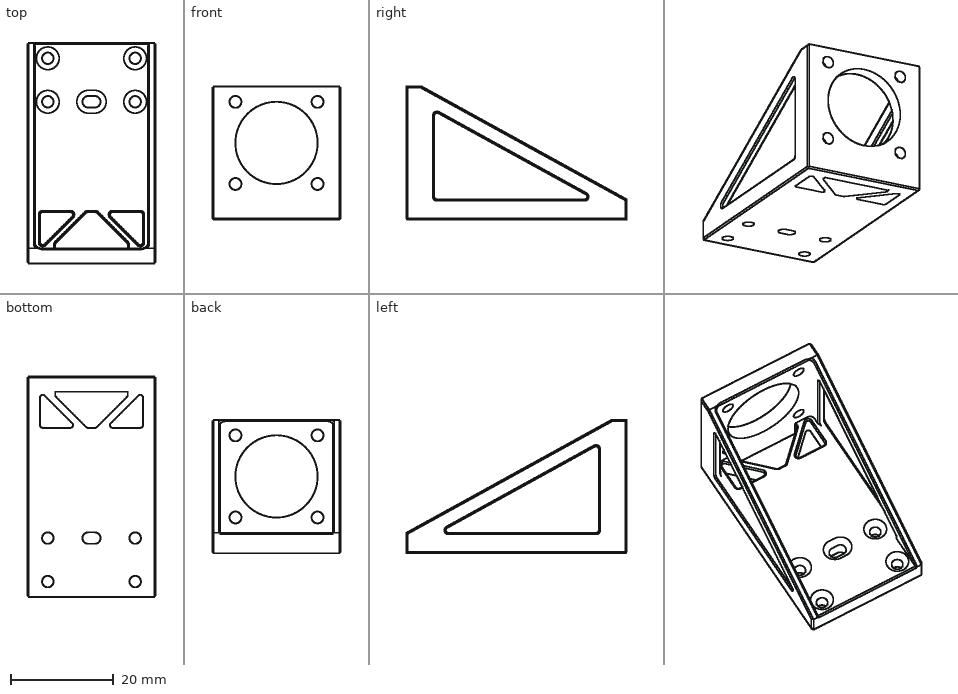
import cadquery as cq
import math

WIDTH = 25.0
LENGTH = 43.0
HEIGHT = 26.0

BASE_THICKNESS = 4.0
PLATE_THICKNESS = 3.0
WALL_THICKNESS = 1.5
EDGE_CHAMFER = 0.3
CHAMFER_ANGLE = 45
SELECTION_MARGIN = 0.05
INNER_CORNER_RADIUS = 1.0
WINDOW_CORNER_RADIUS = 0.5

BRACE_THICKNESS = 3.0
SIDE_WINDOW_FRONT = 5.5

BORE_DIAMETER = 16.0
BORE_HEIGHT = 15.0
PLATE_HOLE_DIAMETER = 2.3
PLATE_HOLE_SPACING = BORE_DIAMETER

SCREW_DIAMETER = 2.2
SCREW_HEAD_DIAMETER = 4.45
SCREW_SPACING = 17.03
REAR_SCREW_Y = 40.0
MIDDLE_SCREW_Y = 31.5
SLOT_TRAVEL = 1.3

TRUSS_REAR = 10.0
TRUSS_SIDE = 10.0
OUTER_DIAGONAL = 12.9
INNER_DIAGONAL = 10.92
CENTRE_WINDOW_HALF_WIDTH = 7.05

INNER_HALF_WIDTH = WIDTH / 2 - WALL_THICKNESS
SLOPE_ANGLE = math.atan2(HEIGHT - BASE_THICKNESS, LENGTH - PLATE_THICKNESS)


def bracket_block():
    """Wedge-shaped side profile extruded across the full width."""
    profile = [
        (0, 0),
        (LENGTH, 0),
        (LENGTH, BASE_THICKNESS),
        (PLATE_THICKNESS, HEIGHT),
        (0, HEIGHT),
    ]
    return cq.Workplane("YZ").polyline(profile).close().extrude(WIDTH / 2, both=True)


def side_windows():
    """Triangular prism that opens both side walls, level with the floor of the base."""
    slope = math.tan(SLOPE_ANGLE)
    brace_drop = BRACE_THICKNESS / math.cos(SLOPE_ANGLE)
    rear_tip = LENGTH - brace_drop / slope
    top = BASE_THICKNESS + (rear_tip - SIDE_WINDOW_FRONT) * slope
    return (
        cq.Workplane("YZ")
        .moveTo(SIDE_WINDOW_FRONT, BASE_THICKNESS)
        .lineTo(rear_tip, BASE_THICKNESS)
        .lineTo(SIDE_WINDOW_FRONT, top)
        .close()
        .extrude(WIDTH, both=True)
        .edges("|X")
        .fillet(WINDOW_CORNER_RADIUS)
    )


def interior():
    """Space between the walls, above the base and behind the mounting plate."""
    return (
        cq.Workplane("XY")
        .workplane(offset=BASE_THICKNESS)
        .moveTo(0, PLATE_THICKNESS + LENGTH / 2)
        .rect(2 * INNER_HALF_WIDTH, LENGTH)
        .extrude(HEIGHT)
        .edges("|Z and <Y")
        .fillet(INNER_CORNER_RADIUS)
    )


def screw_cutter(x, y, travel=0):
    """Countersunk through cutter, stretched along X when travel is given."""
    sink_depth = (SCREW_HEAD_DIAMETER - SCREW_DIAMETER) / 2

    def outline(plane, diameter):
        if travel:
            return plane.slot2D(travel + diameter, diameter)
        return plane.circle(diameter / 2)

    plane = cq.Workplane("XY", origin=(x, y, 0))
    shank = outline(plane, SCREW_DIAMETER).extrude(BASE_THICKNESS)
    head_plane = plane.workplane(offset=BASE_THICKNESS)
    head = outline(head_plane, SCREW_HEAD_DIAMETER).extrude(-sink_depth, taper=CHAMFER_ANGLE)
    return shank.union(head)


def corner_window(side):
    """Triangular window beside one wall; side is -1 for left and +1 for right."""
    return (
        cq.Workplane("XY")
        .moveTo(side * TRUSS_SIDE, TRUSS_REAR)
        .lineTo(side * (OUTER_DIAGONAL - TRUSS_REAR), TRUSS_REAR)
        .lineTo(side * TRUSS_SIDE, OUTER_DIAGONAL - TRUSS_SIDE)
        .close()
        .extrude(BASE_THICKNESS)
        .edges("|Z")
        .fillet(WINDOW_CORNER_RADIUS)
    )


def centre_window():
    """Trapezoidal window between the two diagonal ribs, ending at the mounting plate."""
    rear_half_width = INNER_DIAGONAL - TRUSS_REAR
    shoulder = INNER_DIAGONAL - CENTRE_WINDOW_HALF_WIDTH
    outline = [
        (-CENTRE_WINDOW_HALF_WIDTH, PLATE_THICKNESS),
        (-CENTRE_WINDOW_HALF_WIDTH, shoulder),
        (-rear_half_width, TRUSS_REAR),
        (rear_half_width, TRUSS_REAR),
        (CENTRE_WINDOW_HALF_WIDTH, shoulder),
        (CENTRE_WINDOW_HALF_WIDTH, PLATE_THICKNESS),
    ]
    window = cq.Workplane("XY").polyline(outline).close().extrude(BASE_THICKNESS)
    return window.edges("|Z").edges("not <Y").fillet(WINDOW_CORNER_RADIUS)


def edges_in_box(shape, low, high):
    """Edges whose centres lie in the box from low to high, widened by a small margin."""
    widened_low = tuple(value - SELECTION_MARGIN for value in low)
    widened_high = tuple(value + SELECTION_MARGIN for value in high)
    return shape.edges(cq.selectors.BoxSelector(widened_low, widened_high))


def base_window_rims(body):
    """Upper edges of the base windows, leaving out the one that meets the mounting plate."""
    front = PLATE_THICKNESS + 2 * SELECTION_MARGIN
    low = (-TRUSS_SIDE, front, BASE_THICKNESS)
    high = (TRUSS_SIDE, TRUSS_REAR, BASE_THICKNESS)
    return edges_in_box(body, low, high)


def rear_wedge():
    """Chamfer along the rear edge of the floor, between the walls."""
    return (
        cq.Workplane("YZ")
        .moveTo(LENGTH, BASE_THICKNESS)
        .lineTo(LENGTH - EDGE_CHAMFER, BASE_THICKNESS)
        .lineTo(LENGTH, BASE_THICKNESS - EDGE_CHAMFER)
        .close()
        .extrude(INNER_HALF_WIDTH, both=True)
    )


def inner_window_flares():
    """Chamfers round the inner edges of the side windows, stopping at the floor."""
    flare = (
        side_windows()
        .faces(">X")
        .wires()
        .toPending()
        .offset2D(EDGE_CHAMFER)
        .extrude(EDGE_CHAMFER, combine=False, taper=CHAMFER_ANGLE)
        .translate((INNER_HALF_WIDTH - WIDTH, 0, 0))
    )
    floor_plane = cq.Workplane("XY", origin=(0, 0, BASE_THICKNESS))
    flare = flare.intersect(floor_plane.rect(WIDTH, 2 * LENGTH).extrude(HEIGHT))
    return flare.union(flare.mirror("YZ"))


def interior_rims(body):
    """Upper inner edge of both walls and the mounting plate, running round the corner fillets."""
    slope_normal = cq.Vector(0, math.sin(SLOPE_ANGLE), math.cos(SLOPE_ANGLE))
    sloped_faces = body.faces(cq.selectors.DirectionMinMaxSelector(slope_normal, True))
    top_faces = sloped_faces.add(body.faces(">Z"))
    low = (-INNER_HALF_WIDTH, PLATE_THICKNESS, BASE_THICKNESS)
    high = (INNER_HALF_WIDTH, LENGTH - EDGE_CHAMFER, HEIGHT)
    return edges_in_box(top_faces, low, high)


body = bracket_block().cut(side_windows())
body = body.faces("<X or >X").edges().chamfer(EDGE_CHAMFER)
body = body.faces("<Y").edges("<Z").chamfer(EDGE_CHAMFER)

body = body.cut(interior())
body = interior_rims(body).chamfer(EDGE_CHAMFER)
body = body.cut(inner_window_flares())
body = body.cut(rear_wedge())

for side in (-1, 1):
    body = body.cut(corner_window(side))
body = body.cut(centre_window())
body = base_window_rims(body).chamfer(EDGE_CHAMFER)

for x in (-SCREW_SPACING / 2, SCREW_SPACING / 2):
    for y in (REAR_SCREW_Y, MIDDLE_SCREW_Y):
        body = body.cut(screw_cutter(x, y))
body = body.cut(screw_cutter(0, MIDDLE_SCREW_Y, SLOT_TRAVEL))

plate_face = cq.Workplane("XZ", origin=(0, 0, BORE_HEIGHT))
bore = plate_face.circle(BORE_DIAMETER / 2).extrude(-PLATE_THICKNESS)
plate_holes = (
    plate_face.rect(PLATE_HOLE_SPACING, PLATE_HOLE_SPACING, forConstruction=True)
    .vertices()
    .circle(PLATE_HOLE_DIAMETER / 2)
    .extrude(-PLATE_THICKNESS)
)
result = body.cut(bore).cut(plate_holes)